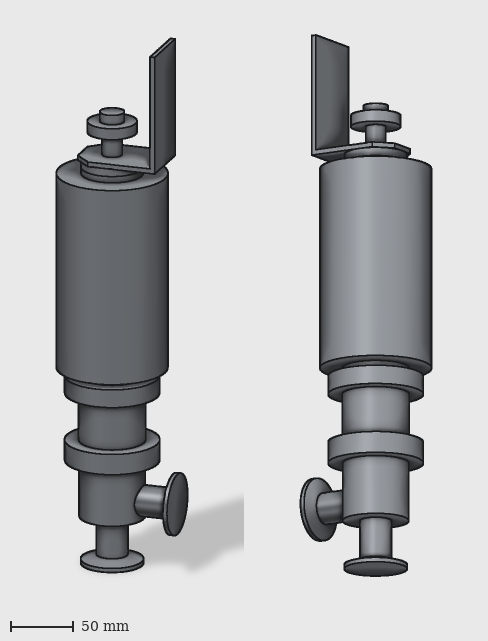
import cadquery as cq

total_height = 437.5

pipe_end_z = 39.5
lower_flange_z = 86.5
middle_neck_z = 103.5
upper_flange_z = 143.0
upper_neck_z = 158.0
cylinder_z = 164.5
collar_z = 327.5
collar_joint_z = 333.0
bracket_z = 339.5
knob_z = 362.0
cap_z = 371.5
cap_top_z = 379.0

lower_body_diameter = 53.0
neck_diameter = 54.0
flange_diameter = 76.0
cylinder_diameter = 89.0
collar_diameter = 50.0
stem_diameter = 16.0
knob_diameter = 40.0
cap_diameter = 19.5

pipe_diameter = 25.5
ferrule_diameter = 50.5
ferrule_rim = 3.5
ferrule_cone = 4.0
side_port_z = 55.0
side_port_reach = 55.0

bracket_width = collar_diameter
bracket_thickness = 4.0
bracket_corner_cut = 13.0
bracket_front_x = -bracket_width / 2
bracket_back_x = cylinder_diameter / 2


def stage(diameter, bottom_z, top_z):
    """Cylinder on the valve axis between two heights."""
    return cq.Workplane("XY", origin=(0, 0, bottom_z)).circle(diameter / 2).extrude(top_z - bottom_z)


def port(length):
    """Solid pipe standing on its flared end face at the origin, along +Z."""
    pipe_radius = pipe_diameter / 2
    ferrule_radius = ferrule_diameter / 2
    return (
        cq.Workplane("XZ")
        .moveTo(0, 0)
        .lineTo(ferrule_radius, 0)
        .lineTo(ferrule_radius, ferrule_rim)
        .lineTo(pipe_radius, ferrule_rim + ferrule_cone)
        .lineTo(pipe_radius, length)
        .lineTo(0, length)
        .close()
        .revolve(360, (0, 0, 0), (0, 1, 0))
    )


def make_valve():
    """Stacked round stages below the collar joint, with a bottom port and a side port."""
    stages = [
        (lower_body_diameter, pipe_end_z, lower_flange_z),
        (flange_diameter, lower_flange_z, middle_neck_z),
        (neck_diameter, middle_neck_z, upper_flange_z),
        (flange_diameter, upper_flange_z, upper_neck_z),
        (neck_diameter, upper_neck_z, cylinder_z),
        (cylinder_diameter, cylinder_z, collar_z),
        (collar_diameter, collar_z, collar_joint_z),
    ]
    valve = port(pipe_end_z)
    for diameter, bottom_z, top_z in stages:
        valve = valve.union(stage(diameter, bottom_z, top_z))

    side_port = (
        port(side_port_reach)
        .rotate((0, 0, 0), (0, 1, 0), -90)
        .translate((side_port_reach, 0, side_port_z))
    )
    return valve.union(side_port)


def angle_plate():
    """L-shaped plate with its two front corners cut off."""
    foot_length = bracket_back_x - bracket_front_x
    foot = (
        cq.Workplane("XY", origin=(bracket_front_x, 0, bracket_z))
        .box(foot_length, bracket_width, bracket_thickness, centered=(False, True, False))
        .edges("|Z and <X")
        .chamfer(bracket_corner_cut)
    )
    upright = cq.Workplane("XY", origin=(bracket_back_x - bracket_thickness, 0, bracket_z)).box(
        bracket_thickness, bracket_width, total_height - bracket_z, centered=(False, True, False)
    )
    return foot.union(upright)


def make_top_assembly():
    """Upper half of the collar carrying the angle bracket, the stem and its knob."""
    return (
        stage(collar_diameter, collar_joint_z, bracket_z)
        .union(angle_plate())
        .union(stage(stem_diameter, bracket_z, knob_z))
        .union(stage(knob_diameter, knob_z, cap_z))
        .union(stage(cap_diameter, cap_z, cap_top_z))
    )


valve = make_valve()
top_assembly = make_top_assembly()

result = cq.Compound.makeCompound([valve.val(), top_assembly.val()])